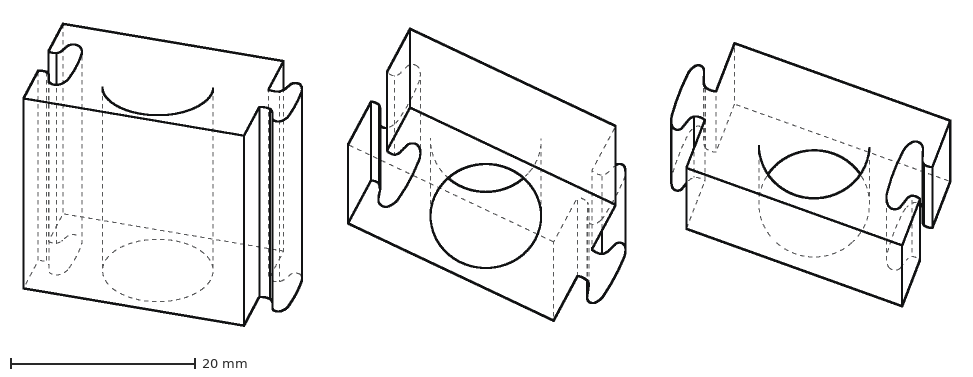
import cadquery as cq

overall_length = 28.67
body_length = 25.0
body_width = 15.0
body_height = 25.0

bore_diameter = 12.0
bore_from_left = 13.0
rim_radius = 1.0

lug_depth = overall_length - body_length
lug_arcs = [
    [(0.0, 1.72), (0.7, 1.63), (1.23, 1.75)],
    [(1.23, 1.75), (1.52, 2.05), (1.72, 2.5)],
    [(1.98, 3.33), (2.55, 3.85), (3.1, 3.6)],
    [(3.1, 3.6), (3.4, 3.07), (3.55, 2.45)],
]
slot_depth = 3.75
slot_arcs = [
    [(0.0, 1.92), (0.52, 1.8), (0.95, 1.85)],
    [(0.95, 1.85), (1.23, 2.15), (1.4, 2.58)],
    [(1.63, 3.33), (2.47, 4.0), (3.15, 3.6)],
    [(3.15, 3.6), (3.47, 3.07), (3.6, 2.45)],
]


def mirrored(arc):
    """The same arc on the opposite flank, run the other way."""
    return [(x, -y) for x, y in reversed(arc)]


def dovetail(face_x, flank, depth):
    """Full-height prism that runs toward +X from a body face, symmetric about Y = 0."""
    shoulder_end = flank[-1][-1]
    opposite_flank = [mirrored(arc) for arc in reversed(flank)]
    crown = [shoulder_end, (depth, 0), opposite_flank[0][0]]

    position = flank[0][0]
    profile = cq.Workplane("XY").moveTo(*position)
    for start, middle, end in flank + [crown] + opposite_flank:
        if start != position:
            profile = profile.lineTo(*start)
        profile = profile.threePointArc(middle, end)
        position = end
    return profile.close().extrude(body_height).translate((face_x, 0, 0))


def rounded_bore():
    """Cutter for the bore, flared at the top by a convex quarter-round rim."""
    bore_radius = bore_diameter / 2
    rim_start = body_height - rim_radius
    half_section = (
        cq.Workplane("XZ")
        .lineTo(bore_radius, 0)
        .lineTo(bore_radius, rim_start)
        .radiusArc((bore_radius + rim_radius, body_height), rim_radius)
        .lineTo(0, body_height)
        .close()
    )
    cutter = half_section.revolve(360, (0, 0, 0), (0, 1, 0))
    return cutter.translate((bore_from_left, 0, 0))


body = cq.Workplane("XY").box(body_length, body_width, body_height, centered=(False, True, False))
lug = dovetail(body_length, lug_arcs, lug_depth)
slot = dovetail(0, slot_arcs, slot_depth)

result = body.union(lug).cut(slot).cut(rounded_bore())